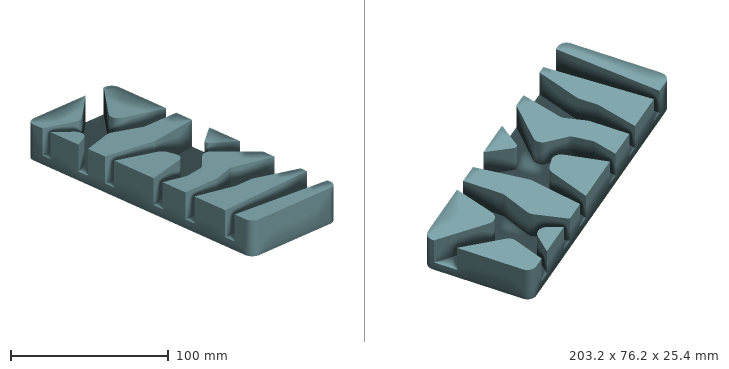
import cadquery as cq
import math

LENGTH = 203.2
WIDTH = 76.2
HEIGHT = 25.4
FLOOR_THICKNESS = HEIGHT / 4
CORNER_RADIUS = 6.35
BEND_RADIUS = 6.35
TIP_RADIUS = 2.4

BACK_LEFT_WALL = [(0, 69.0), (36.5, 38.2), (49.0, WIDTH)]
FRONT_LEFT_WALL = [(14.2, 0), (23.6, 25.6), (0, 52.8)]
FRONT_PEAK_WALL = [(21.7, 0), (38.2, 18.1), (46.8, 0)]
WAIST_LEFT_WALL = [(55.4, 0), (48.5, 25.0), (58.0, 47.9), (58.0, WIDTH)]
WAIST_RIGHT_WALL = [(72.4, WIDTH), (77.5, 37.9), (70.5, 0)]
FRONT_CENTER_WALL = [(79.0, 0), (90.6, 31.8), (106.1, 35.8), (114.4, 0)]
BACK_WEDGE_WALL = [(87.6, WIDTH), (101.4, 57.8), (115.2, WIDTH)]
ELBOW_LEFT_WALL = [(122.5, 0), (127.1, 17.4), (125.0, 32.6), (108.9, 49.0), (136.2, WIDTH)]
ELBOW_RIGHT_WALL = [(146.6, WIDTH), (138.2, 45.3), (143.0, 28.4), (143.0, 0)]
TAPER_LEFT_WALL = [(151.2, 0), (158.9, 29.7), (158.9, 43.9), (170.1, WIDTH)]
TAPER_RIGHT_WALL = [(175.7, WIDTH), (178.9, 0)]
RIGHT_END_WALL = [(187.4, 0), (194.2, WIDTH)]

FRONT_LEFT_CORNER = (0, 0)
BACK_LEFT_CORNER = (0, WIDTH)
BACK_RIGHT_CORNER = (LENGTH, WIDTH)
FRONT_RIGHT_CORNER = (LENGTH, 0)

ISLANDS = [
    (BACK_LEFT_WALL + [BACK_LEFT_CORNER], BEND_RADIUS),
    (FRONT_LEFT_WALL + [FRONT_LEFT_CORNER], BEND_RADIUS),
    (FRONT_PEAK_WALL, BEND_RADIUS),
    (WAIST_LEFT_WALL + WAIST_RIGHT_WALL, BEND_RADIUS),
    (FRONT_CENTER_WALL, BEND_RADIUS),
    (BACK_WEDGE_WALL, TIP_RADIUS),
    (ELBOW_LEFT_WALL + ELBOW_RIGHT_WALL, BEND_RADIUS),
    (TAPER_LEFT_WALL + TAPER_RIGHT_WALL, BEND_RADIUS),
    (RIGHT_END_WALL + [BACK_RIGHT_CORNER, FRONT_RIGHT_CORNER], BEND_RADIUS),
]


def rounded_block(height):
    """Full-size block of the given height with rounded vertical corners."""
    block = cq.Workplane("XY").box(LENGTH, WIDTH, height, centered=False)
    return block.edges("|Z").fillet(CORNER_RADIUS)


def is_on_block_edge(point):
    x, y = point
    return x in (0, LENGTH) or y in (0, WIDTH)


def bend_arc(before, bend, after, radius):
    """Start, middle and end of the arc that rounds a bend tangentially."""
    corner = cq.Vector(*bend)
    toward_before = (cq.Vector(*before) - corner).normalized()
    toward_after = (cq.Vector(*after) - corner).normalized()
    half_angle = toward_before.getAngle(toward_after) / 2
    tangent_length = radius / math.tan(half_angle)
    bisector = (toward_before + toward_after).normalized()
    start = corner + toward_before * tangent_length
    middle = corner + bisector * (radius / math.sin(half_angle) - radius)
    end = corner + toward_after * tangent_length
    return start, middle, end


def island(outline, bend_radius):
    """Raised prism whose wall bends are rounded; points on the block edge stay sharp."""
    sketch = cq.Workplane("XY").moveTo(*outline[0])
    for index in range(1, len(outline)):
        point = outline[index]
        if is_on_block_edge(point):
            sketch = sketch.lineTo(*point)
        else:
            start, middle, end = bend_arc(outline[index - 1], point, outline[index + 1], bend_radius)
            sketch = sketch.lineTo(start.x, start.y)
            sketch = sketch.threePointArc((middle.x, middle.y), (end.x, end.y))
    return sketch.close().extrude(HEIGHT)


envelope = rounded_block(HEIGHT)
result = rounded_block(FLOOR_THICKNESS)
for island_outline, island_radius in ISLANDS:
    result = result.union(island(island_outline, island_radius).intersect(envelope))
result = result.clean()